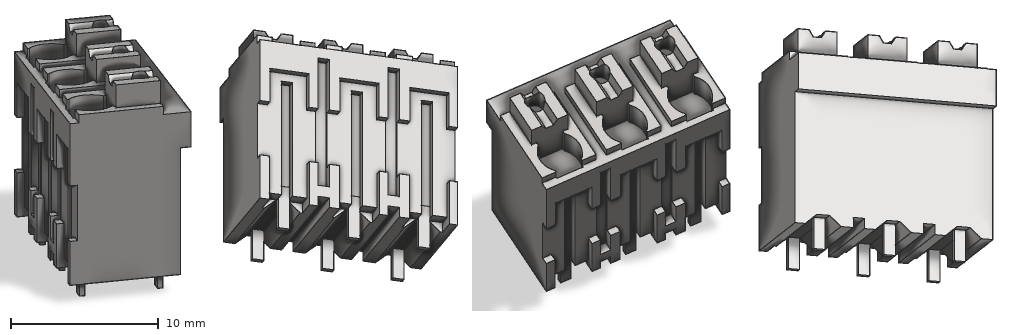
import cadquery as cq

POLE_COUNT = 3
PITCH = 5.0
POLE_OFFSET = 0.05

WIDTH = 14.1
DEPTH = 8.5
BODY_BACK_Y = 7.75
BASE_Z = 1.48
OVERHANG_Z = 10.66
DECK_Z = 13.21

PAD_FRONT_Y = 0.62
PAD_BACK_Y = 6.55
PAD_TOP_Z = 13.8
GAP_WIDTH = 0.8

PANEL_Y = 0.53
PANEL_BOTTOM_Z = 2.2
FEET_TOP_Z = 4.68
LEGS_BOTTOM_Z = 8.7
ARCH_TOP_Z = 11.19
ARCH_WIDTH = 2.8
FOOT_OPENING_WIDTH = 2.85

GROOVE_DEPTH = 0.7
GROOVE_BOTTOM_Z = 3.01
GROOVE_TOP_Z = 12.44

PIN_WIDTH = 0.8
PIN_THICKNESS = 0.37
FRONT_PIN_Y = 1.11
REAR_PIN_Y = 6.6
PIN_TOP_Z = 3.09
PIN_SLOT_TOP_Z = 10.6

CHANNEL_TOP_WIDTH = 0.9
CHANNEL_BOTTOM_WIDTH = 2.53

BUTTON_WIDTH = 2.8
BUTTON_FRONT_Y = 3.4
BUTTON_BACK_Y = 6.5
BUTTON_TOP_Z = 15.45
NOTCH_TOP_WIDTH = 1.17
NOTCH_BOTTOM_WIDTH = 0.59
NOTCH_DEPTH = 0.48
BUTTON_HOLE_RADIUS = 0.7
BUTTON_HOLE_Y = 5.56

ENTRY_FLOOR_Z = 11.8
ENTRY_FRONT_Y = 0.5
ENTRY_Y = 1.96
ENTRY_BULGE_WIDTH = 2.98
ENTRY_BULGE_LENGTH = 2.44
ENTRY_SLOT_WIDTH = 2.01

POLES = [POLE_OFFSET + (i - (POLE_COUNT - 1) / 2) * PITCH for i in range(POLE_COUNT)]
DIVIDERS = [(i - POLE_COUNT / 2) * PITCH for i in range(1, POLE_COUNT)]


def block(center_x, width, y_range, z_range):
    """Box centred on center_x, spanning the given Y and Z ranges."""
    (y0, y1), (z0, z1) = y_range, z_range
    return cq.Workplane("XY").box(width, y1 - y0, z1 - z0, centered=False).translate(
        (center_x - width / 2, y0, z0)
    )


def cylinder(x, y, radius, z_range):
    """Upright cylinder spanning the given Z range."""
    z0, z1 = z_range
    return cq.Workplane("XY", origin=(x, y, z0)).circle(radius).extrude(z1 - z0)


def trapezoid_prism(center_x, bottom_width, top_width, y_range, z_range):
    """Prism along Y with a symmetric trapezoid section."""
    (y0, y1), (z0, z1) = y_range, z_range
    section = [
        (center_x - bottom_width / 2, z0),
        (center_x + bottom_width / 2, z0),
        (center_x + top_width / 2, z1),
        (center_x - top_width / 2, z1),
    ]
    return cq.Workplane("XZ", origin=(0, y0, 0)).polyline(section).close().extrude(y0 - y1)


def make_pin(x, front_y):
    return block(x, PIN_WIDTH, (front_y, front_y + PIN_THICKNESS), (0, PIN_TOP_Z))


def button_blank(x):
    """Full button block, which is also the shape of its pocket."""
    return block(x, BUTTON_WIDTH, (BUTTON_FRONT_Y, BUTTON_BACK_Y), (ENTRY_FLOOR_Z, BUTTON_TOP_Z))


def make_button(x):
    notch = trapezoid_prism(
        x, NOTCH_BOTTOM_WIDTH, NOTCH_TOP_WIDTH,
        (BUTTON_FRONT_Y, BUTTON_BACK_Y), (BUTTON_TOP_Z - NOTCH_DEPTH, BUTTON_TOP_Z),
    )
    hole = cylinder(x, BUTTON_HOLE_Y, BUTTON_HOLE_RADIUS, (PAD_TOP_Z, BUTTON_TOP_Z))
    return button_blank(x).cut(notch).cut(hole)


def housing_shell():
    """Side outline swept over the full width, with the pads on its deck."""
    outline = [
        (0, BASE_Z),
        (0, FEET_TOP_Z),
        (PANEL_Y, FEET_TOP_Z),
        (PANEL_Y, LEGS_BOTTOM_Z),
        (0, LEGS_BOTTOM_Z),
        (0, DECK_Z),
        (PAD_FRONT_Y, DECK_Z),
        (PAD_FRONT_Y, PAD_TOP_Z),
        (PAD_BACK_Y, PAD_TOP_Z),
        (PAD_BACK_Y, DECK_Z),
        (DEPTH, DECK_Z),
        (DEPTH, OVERHANG_Z),
        (BODY_BACK_Y, OVERHANG_Z),
        (BODY_BACK_Y, BASE_Z),
    ]
    return cq.Workplane("YZ").polyline(outline).close().extrude(WIDTH / 2, both=True)


def divider_cuts(x):
    """Gap between pads, front groove and bottom notch between two poles."""
    return [
        block(x, GAP_WIDTH, (PAD_FRONT_Y, PAD_BACK_Y), (DECK_Z, PAD_TOP_Z)),
        block(x, GAP_WIDTH, (0, GROOVE_DEPTH), (GROOVE_BOTTOM_Z, GROOVE_TOP_Z)),
        block(x, GAP_WIDTH, (0, BODY_BACK_Y), (BASE_Z, PANEL_BOTTOM_Z)),
    ]


def front_cuts(x):
    """Arch and foot openings, the slot in front of the pin, and the channel beneath.

    Below the panel the foot opening deepens to the back of the front pin.
    """
    pin_back_y = FRONT_PIN_Y + PIN_THICKNESS
    return [
        block(x, ARCH_WIDTH, (0, PANEL_Y), (LEGS_BOTTOM_Z, ARCH_TOP_Z)),
        block(x, FOOT_OPENING_WIDTH, (0, PANEL_Y), (PANEL_BOTTOM_Z, FEET_TOP_Z)),
        block(x, FOOT_OPENING_WIDTH, (0, pin_back_y), (BASE_Z, PANEL_BOTTOM_Z)),
        block(x, PIN_WIDTH, (0, FRONT_PIN_Y), (PANEL_BOTTOM_Z, PIN_SLOT_TOP_Z)),
        trapezoid_prism(
            x, CHANNEL_BOTTOM_WIDTH, CHANNEL_TOP_WIDTH, (0, BODY_BACK_Y), (BASE_Z, PANEL_BOTTOM_Z)
        ),
    ]


def entry_cut(x):
    """Wire entry: a straight slot running into the button, with a rounded bulge on each side."""
    slot_half = ENTRY_SLOT_WIDTH / 2
    bulge_half = ENTRY_BULGE_WIDTH / 2
    bulge_front_y = ENTRY_Y - ENTRY_BULGE_LENGTH / 2
    bulge_back_y = ENTRY_Y + ENTRY_BULGE_LENGTH / 2
    return (
        cq.Workplane("XY", origin=(x, 0, ENTRY_FLOOR_Z))
        .moveTo(-slot_half, ENTRY_FRONT_Y)
        .lineTo(slot_half, ENTRY_FRONT_Y)
        .lineTo(slot_half, bulge_front_y)
        .threePointArc((bulge_half, ENTRY_Y), (slot_half, bulge_back_y))
        .lineTo(slot_half, BUTTON_FRONT_Y)
        .lineTo(-slot_half, BUTTON_FRONT_Y)
        .lineTo(-slot_half, bulge_back_y)
        .threePointArc((-bulge_half, ENTRY_Y), (-slot_half, bulge_front_y))
        .close()
        .extrude(PAD_TOP_Z - ENTRY_FLOOR_Z)
    )


def make_housing():
    housing = housing_shell()
    cuts = []
    for x in DIVIDERS:
        cuts += divider_cuts(x)
    for x in POLES:
        cuts += front_cuts(x)
        cuts += [entry_cut(x), button_blank(x), make_pin(x, FRONT_PIN_Y), make_pin(x, REAR_PIN_Y)]
    for cut in cuts:
        housing = housing.cut(cut)
    return housing


housing = make_housing()
buttons = [make_button(x) for x in POLES]
front_pins = [make_pin(x, FRONT_PIN_Y) for x in POLES]
rear_pins = [make_pin(x, REAR_PIN_Y) for x in POLES]

result = cq.Compound.makeCompound(
    [body.val() for body in [housing, *buttons, *front_pins, *rear_pins]]
)